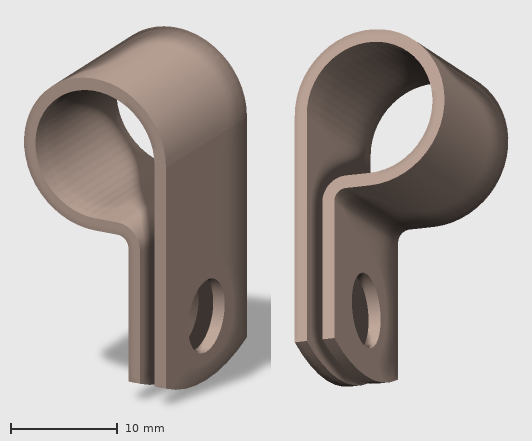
import cadquery as cq
import math

height = 31.3
width = 15.87
outer_radius = 7.57
thickness = 1.22
leg_gap = 1.55
bend_inner_radius = 1.15
hole_diameter = 7.15
hole_height = 6.4
tip_drop = 1.7

inner_radius = outer_radius - thickness
bend_outer_radius = bend_inner_radius + thickness
bottom = outer_radius - height
leg_right = inner_radius - leg_gap
leg_left = leg_right - thickness
bend_x = leg_left - bend_inner_radius
bend_z = -outer_radius - bend_inner_radius
bend_diagonal = math.sqrt(0.5)
tip_radius = ((width / 2) ** 2 + tip_drop ** 2) / (2 * tip_drop)


def make_strip():
    """Bent strip: long leg, loop, reverse bend and short leg."""
    bend_outer_mid = (
        bend_x + bend_outer_radius * bend_diagonal,
        bend_z + bend_outer_radius * bend_diagonal,
    )
    bend_inner_mid = (
        bend_x + bend_inner_radius * bend_diagonal,
        bend_z + bend_inner_radius * bend_diagonal,
    )
    loop_diagonal = (-bend_diagonal, bend_diagonal)
    outer_mid = tuple(outer_radius * c for c in loop_diagonal)
    inner_mid = tuple(inner_radius * c for c in loop_diagonal)
    return (
        cq.Workplane("XZ")
        .moveTo(outer_radius, bottom)
        .lineTo(outer_radius, 0)
        .threePointArc(outer_mid, (0, -outer_radius))
        .lineTo(bend_x, -outer_radius)
        .threePointArc(bend_inner_mid, (leg_left, bend_z))
        .lineTo(leg_left, bottom)
        .lineTo(leg_right, bottom)
        .lineTo(leg_right, bend_z)
        .threePointArc(bend_outer_mid, (bend_x, -inner_radius))
        .lineTo(0, -inner_radius)
        .threePointArc(inner_mid, (inner_radius, 0))
        .lineTo(inner_radius, bottom)
        .close()
        .extrude(width / 2, both=True)
    )


def make_side_envelope():
    """Side outline with arched leg tips, spanning the whole strip in X."""
    shoulder = bottom + tip_drop
    return (
        cq.Workplane("YZ")
        .moveTo(-width / 2, outer_radius)
        .lineTo(-width / 2, shoulder)
        .radiusArc((width / 2, shoulder), -tip_radius)
        .lineTo(width / 2, outer_radius)
        .close()
        .extrude(outer_radius, both=True)
    )


def make_screw_hole():
    """Cylinder along X that pierces both legs."""
    return (
        cq.Workplane("YZ")
        .center(0, bottom + hole_height)
        .circle(hole_diameter / 2)
        .extrude(outer_radius, both=True)
    )


result = make_strip().intersect(make_side_envelope()).cut(make_screw_hole())